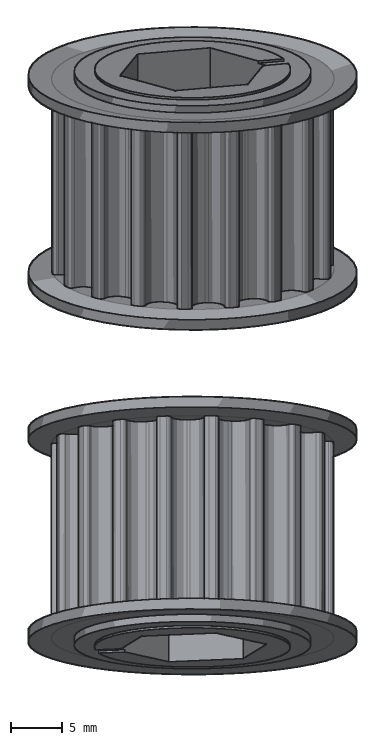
import cadquery as cq
import math


flange_diameter = 32.0
overall_height = 22.25

tooth_count = 18
tip_radius = 13.75
root_radius = 11.68
toothed_height = 18.25

floor_half_width = 0.15
flank_radius = 1.45
tip_round = 0.4

hub_radius = 11.52
boss_radius = 9.55
boss_height = 0.22
hex_across_flats = 12.77
slot_width = 1.6

flange_thickness = 1.05
rim_rise = 0.4

flange_radius = flange_diameter / 2
tooth_end_z = toothed_height / 2
overall_end_z = overall_height / 2
hub_end_z = overall_end_z - boss_height
tooth_pitch = 360 / tooth_count
hex_across_corners = hex_across_flats / math.cos(math.radians(30))


def point_from(center, distance, angle):
    """Point at a distance and an angle (radians) from a centre."""
    return (center[0] + distance * math.cos(angle), center[1] + distance * math.sin(angle))


def angle_between(start, end):
    """Direction in radians from one point to another."""
    return math.atan2(end[1] - start[1], end[0] - start[0])


def mirrored(point):
    """Point on the opposite side of the groove's centre line."""
    return (-point[0], point[1])


def belt_groove():
    """Cutter for one belt groove, centred on the +Y axis."""
    origin = (0, 0)
    flank_center = (floor_half_width, root_radius + flank_radius)

    flank_center_radius = math.hypot(*flank_center)
    round_center_radius = tip_radius - tip_round
    center_gap = flank_radius + tip_round
    angle_cosine = (flank_center_radius**2 + round_center_radius**2 - center_gap**2) / (
        2 * flank_center_radius * round_center_radius
    )
    round_angle = angle_between(origin, flank_center) - math.acos(angle_cosine)
    round_center = point_from(origin, round_center_radius, round_angle)

    flank_end_angle = angle_between(flank_center, round_center)
    floor_end = (floor_half_width, root_radius)
    flank_middle = point_from(flank_center, flank_radius, (flank_end_angle - math.pi / 2) / 2)
    flank_end = point_from(flank_center, flank_radius, flank_end_angle)
    round_start_angle = flank_end_angle + math.pi
    round_middle = point_from(round_center, tip_round, (round_start_angle + round_angle) / 2)
    tip_point = point_from(origin, tip_radius, round_angle)

    return (
        cq.Workplane("XY", origin=(0, 0, -tooth_end_z))
        .moveTo(*mirrored(floor_end))
        .lineTo(*floor_end)
        .threePointArc(flank_middle, flank_end)
        .threePointArc(round_middle, tip_point)
        .threePointArc((0, tip_radius), mirrored(tip_point))
        .threePointArc(mirrored(round_middle), mirrored(flank_end))
        .threePointArc(mirrored(flank_middle), mirrored(floor_end))
        .close()
        .extrude(toothed_height)
    )


def centered_cylinder(radius, end_z):
    """Cylinder on the Z axis, reaching the same distance above and below the origin."""
    return cq.Workplane("XY").circle(radius).extrude(end_z, both=True)


def make_core():
    """Toothed core with stepped hub ends, a hex bore and a slot across each end boss."""
    core = centered_cylinder(tip_radius, tooth_end_z)
    groove = belt_groove()
    for index in range(tooth_count):
        core = core.cut(groove.rotate((0, 0, 0), (0, 0, 1), index * tooth_pitch))

    core = core.union(centered_cylinder(hub_radius, hub_end_z))
    core = core.union(centered_cylinder(boss_radius, overall_end_z))

    hex_bore = (
        cq.Workplane("XY")
        .polygon(6, hex_across_corners)
        .extrude(overall_end_z, both=True)
        .rotate((0, 0, 0), (0, 0, 1), 90)
    )
    core = core.cut(hex_bore)

    slot_top = (
        cq.Workplane("XY", origin=(0, 0, hub_end_z))
        .rect(slot_width, 2 * boss_radius)
        .extrude(boss_height)
        .translate((0, boss_radius, 0))
    )
    return core.cut(slot_top).cut(slot_top.mirror("XY"))


def make_flange():
    """Upper flange: a ring around the hub, resting on the tooth ends."""
    flat_top_z = tooth_end_z + flange_thickness
    return (
        cq.Workplane("XZ")
        .moveTo(hub_radius, tooth_end_z)
        .lineTo(tip_radius, tooth_end_z)
        .lineTo(flange_radius, tooth_end_z + rim_rise)
        .lineTo(flange_radius, flat_top_z + rim_rise)
        .lineTo(tip_radius, flat_top_z)
        .lineTo(hub_radius, flat_top_z)
        .close()
        .revolve(360, (0, 0, 0), (0, 1, 0))
    )


core = make_core()
upper_flange = make_flange()
lower_flange = upper_flange.mirror("XY")

result = cq.Compound.makeCompound([core.val(), upper_flange.val(), lower_flange.val()])